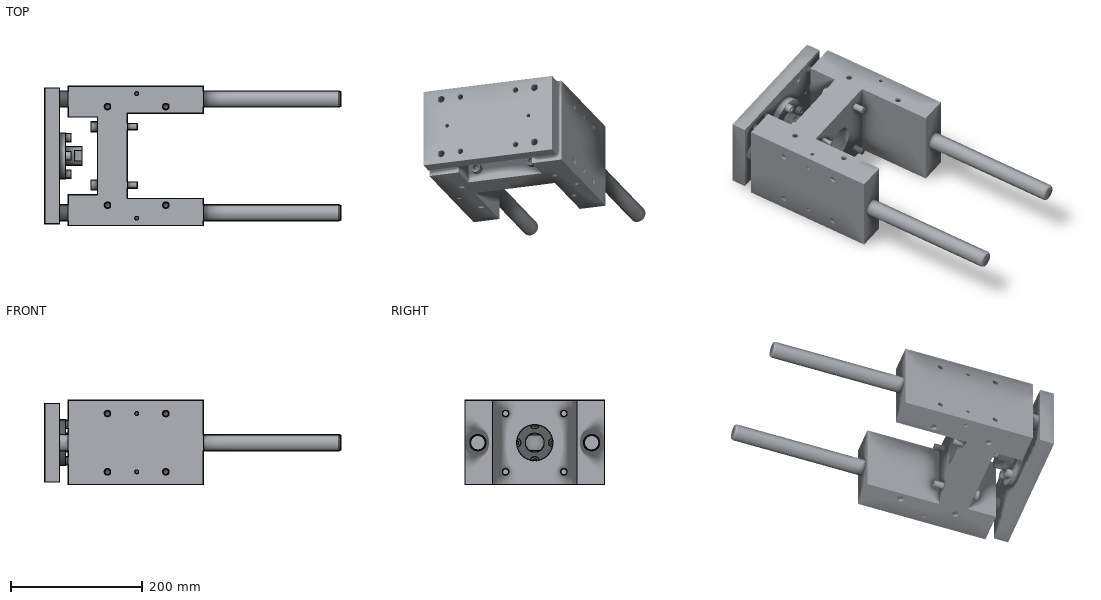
import cadquery as cq
import math


TOTAL_LENGTH = 451.0
PLATE_THICKNESS = 22.5
PLATE_GAP = 13.0
HOUSING_LENGTH = 206.0
HOUSING_FRONT = PLATE_THICKNESS + PLATE_GAP
HOUSING_REAR = HOUSING_FRONT + HOUSING_LENGTH

HOUSING_WIDTH = 213.0
HOUSING_HEIGHT = 129.0
HOUSING_RISE = 0.5
FRONT_NOTCH_DEPTH = 44.5
FRONT_NOTCH_WIDTH = 118.0
REAR_NOTCH_WIDTH = 129.5
WEB_THICKNESS = 45.5
WEB_FRONT = HOUSING_FRONT + FRONT_NOTCH_DEPTH
WEB_REAR = WEB_FRONT + WEB_THICKNESS
WEB_BORE_DIAMETER = 55.0

MOUNT_PITCH = 89.0
TAP_DIAMETER = 8.0
TAP_MOUTH_DIAMETER = 10.0
TAP_DEPTH = 20.0
DOWEL_DIAMETER = 6.0
DOWEL_DEPTH = 10.0
DRILL_POINT_ANGLE = 118.0

FRONT_TAP_OFFSET = 60.0
TAP_X = (HOUSING_FRONT + FRONT_TAP_OFFSET, HOUSING_FRONT + FRONT_TAP_OFFSET + MOUNT_PITCH)
DOWEL_X = sum(TAP_X) / 2
TOP_TAP_PITCH = 150.0
TOP_DOWEL_PITCH = 190.0

BOLT_DIAMETER = 10.0
BOLT_HEAD_DIAMETER = 16.0
BOLT_HEAD_LENGTH = 10.0
BOLT_PROTRUSION = 15.5
BOLT_TIP_CHAMFER = 0.5
BOLT_SOCKET_FLATS = 6.8
BOLT_SOCKET_DEPTH = 5.0

PLATE_WIDTH = 207.0
PLATE_HEIGHT = 120.0
PLATE_HOLE_DIAMETER = 11.0
PLATE_HOLE_PITCH = 150.0
PLATE_DOWEL_PITCH = 131.2

ROD_DIAMETER = 25.0
ROD_PITCH = 173.0
ROD_CHAMFER_LENGTH = 2.5
ROD_CHAMFER_WIDTH = 1.5

FLANGE_DIAMETER = 70.5
FLANGE_THICKNESS = 9.5
SPIGOT_DIAMETER = 29.0
SPIGOT_LENGTH = 25.0
SPIGOT_FLATS = 24.0
SPIGOT_FLAT_LENGTH = 11.5
SCREW_CIRCLE_DIAMETER = 55.5
SCREW_COUNT = 4
SCREW_HEAD_DIAMETER = 13.0
SCREW_HEAD_LENGTH = 8.0
SCREW_SOCKET_FLATS = 6.0
SCREW_SOCKET_DEPTH = 4.0

X_AXIS = cq.Vector(1, 0, 0)


def corners(pitch_a, pitch_b):
    """The four corners of a rectangle centred on the origin."""
    return [(a * pitch_a / 2, b * pitch_b / 2) for a in (-1, 1) for b in (-1, 1)]


def rod_along_x(x, y, z, diameter, length):
    """A cylinder that starts at (x, y, z) and runs in +X."""
    return cq.Workplane(cq.Solid.makeCylinder(diameter / 2, length, cq.Vector(x, y, z), X_AXIS))


def hex_along_x(x, y, z, flats, length):
    """A hexagonal prism with a corner on top; a negative length runs in -X from (x, y, z)."""
    across_corners = flats / math.cos(math.pi / 6)
    prism = cq.Workplane("YZ", origin=(x, y, z)).polygon(6, across_corners).extrude(length)
    return prism.rotate((x, y, z), (x + 4.5, y, z), 90)


def flat_hole(point, direction, diameter, depth):
    """A flat-bottomed cylinder that starts at a point and runs in a direction."""
    return cq.Workplane(
        cq.Solid.makeCylinder(diameter / 2, depth, cq.Vector(*point), cq.Vector(*direction))
    )


def tap_mouth(point, direction):
    """The 45-degree countersink at the mouth of a tapped hole."""
    mouth_depth = (TAP_MOUTH_DIAMETER - TAP_DIAMETER) / 2
    return cq.Workplane(
        cq.Solid.makeCone(
            TAP_MOUTH_DIAMETER / 2, TAP_DIAMETER / 2, mouth_depth, cq.Vector(*point), cq.Vector(*direction)
        )
    )


def tapped_hole(point, direction):
    """A blind hole with a countersunk mouth and a conical bottom."""
    inward = cq.Vector(*direction)
    bottom = cq.Vector(*point) + inward * TAP_DEPTH
    radius = TAP_DIAMETER / 2
    cone_length = radius / math.tan(math.radians(DRILL_POINT_ANGLE / 2))
    drill_point = cq.Workplane(cq.Solid.makeCone(radius, 0, cone_length, bottom, inward))
    hole = flat_hole(point, direction, TAP_DIAMETER, TAP_DEPTH)
    return hole.union(drill_point).union(tap_mouth(point, direction))


def housing_slab(x, length, width):
    """A full-height box of the housing that starts at x."""
    slab = cq.Workplane("XY").box(length, width, HOUSING_HEIGHT, centered=(False, True, True))
    return slab.translate((x, 0, HOUSING_RISE))


def housing_block():
    """The H-shaped block: two arms joined by the web."""
    block = housing_slab(HOUSING_FRONT, HOUSING_LENGTH, HOUSING_WIDTH)
    front_notch = housing_slab(HOUSING_FRONT, FRONT_NOTCH_DEPTH, FRONT_NOTCH_WIDTH)
    rear_notch = housing_slab(WEB_REAR, HOUSING_REAR - WEB_REAR, REAR_NOTCH_WIDTH)
    return block.cut(front_notch).cut(rear_notch)


def cut_bores(block):
    """The web bore and the guide bores through both arms."""
    block = block.cut(rod_along_x(WEB_FRONT, 0, 0, WEB_BORE_DIAMETER, WEB_THICKNESS))
    for side in (-1, 1):
        y = side * ROD_PITCH / 2
        block = block.cut(rod_along_x(HOUSING_FRONT, y, 0, ROD_DIAMETER, HOUSING_LENGTH))
    return block


def cut_side_holes(block):
    """Tapped holes and dowel holes in both outer arm faces."""
    for side in (-1, 1):
        y = side * HOUSING_WIDTH / 2
        inward = (0, -side, 0)
        for z in (-MOUNT_PITCH / 2, MOUNT_PITCH / 2):
            for x in TAP_X:
                block = block.cut(tapped_hole((x, y, z), inward))
            block = block.cut(flat_hole((DOWEL_X, y, z), inward, DOWEL_DIAMETER, DOWEL_DEPTH))
    return block


def cut_top_and_bottom_holes(block):
    """Tapped holes and dowel holes in the top and bottom faces."""
    for end in (-1, 1):
        z = HOUSING_RISE + end * HOUSING_HEIGHT / 2
        inward = (0, 0, -end)
        for side in (-1, 1):
            tap_y = side * TOP_TAP_PITCH / 2
            dowel_y = side * TOP_DOWEL_PITCH / 2
            for x in TAP_X:
                block = block.cut(tapped_hole((x, tap_y, z), inward))
            block = block.cut(flat_hole((DOWEL_X, dowel_y, z), inward, DOWEL_DIAMETER, DOWEL_DEPTH))
    return block


def web_bolt(y, z):
    """A socket-head bolt with its head on the front of the web and its tip behind it."""
    head_front = WEB_FRONT - BOLT_HEAD_LENGTH
    head = rod_along_x(head_front, y, z, BOLT_HEAD_DIAMETER, BOLT_HEAD_LENGTH)
    head = head.cut(hex_along_x(head_front, y, z, BOLT_SOCKET_FLATS, BOLT_SOCKET_DEPTH))
    shank = rod_along_x(WEB_FRONT, y, z, BOLT_DIAMETER, WEB_THICKNESS + BOLT_PROTRUSION)
    shank = shank.faces(">X").chamfer(BOLT_TIP_CHAMFER)
    return head.union(shank)


def make_housing():
    housing = cut_bores(housing_block())
    housing = cut_side_holes(housing)
    housing = cut_top_and_bottom_holes(housing)
    for y, z in corners(MOUNT_PITCH, MOUNT_PITCH):
        housing = housing.union(web_bolt(y, z))
    return housing


def front_plate():
    plate = cq.Workplane("XY").box(
        PLATE_THICKNESS, PLATE_WIDTH, PLATE_HEIGHT, centered=(False, True, True)
    )
    for y, z in corners(PLATE_HOLE_PITCH, MOUNT_PITCH):
        plate = plate.cut(rod_along_x(0, y, z, PLATE_HOLE_DIAMETER, PLATE_THICKNESS))
    for y, z in corners(MOUNT_PITCH, MOUNT_PITCH):
        plate = plate.cut(rod_along_x(0, y, z, TAP_DIAMETER, PLATE_THICKNESS))
        plate = plate.cut(tap_mouth((0, y, z), (1, 0, 0)))
    for side in (-1, 1):
        y = side * PLATE_DOWEL_PITCH / 2
        plate = plate.cut(rod_along_x(0, y, 0, DOWEL_DIAMETER, PLATE_THICKNESS))
    return plate


def guide_rod(y):
    """A rod from the plate to the rear, with a chamfered end."""
    tip_start = TOTAL_LENGTH - ROD_CHAMFER_LENGTH
    rod = rod_along_x(PLATE_THICKNESS, y, 0, ROD_DIAMETER, tip_start - PLATE_THICKNESS)
    tip = cq.Solid.makeCone(
        ROD_DIAMETER / 2,
        ROD_DIAMETER / 2 - ROD_CHAMFER_WIDTH,
        ROD_CHAMFER_LENGTH,
        cq.Vector(tip_start, y, 0),
        X_AXIS,
    )
    return rod.union(cq.Workplane(tip))


def coupling():
    """A round flange with a spigot that has two wrench flats, held by socket-head screws."""
    flange_rear = PLATE_THICKNESS + FLANGE_THICKNESS
    spigot_rear = flange_rear + SPIGOT_LENGTH
    spigot = rod_along_x(flange_rear, 0, 0, SPIGOT_DIAMETER, SPIGOT_LENGTH)
    for end in (-1, 1):
        waste = cq.Workplane("XY").box(SPIGOT_FLAT_LENGTH, SPIGOT_DIAMETER, SPIGOT_DIAMETER)
        spigot = spigot.cut(
            waste.translate(
                (spigot_rear - SPIGOT_FLAT_LENGTH / 2, 0, end * (SPIGOT_FLATS + SPIGOT_DIAMETER) / 2)
            )
        )
    body = rod_along_x(PLATE_THICKNESS, 0, 0, FLANGE_DIAMETER, FLANGE_THICKNESS).union(spigot)
    for index in range(SCREW_COUNT):
        angle = 2 * math.pi * index / SCREW_COUNT
        y = SCREW_CIRCLE_DIAMETER / 2 * math.cos(angle)
        z = SCREW_CIRCLE_DIAMETER / 2 * math.sin(angle)
        head = rod_along_x(flange_rear, y, z, SCREW_HEAD_DIAMETER, SCREW_HEAD_LENGTH)
        head_rear = flange_rear + SCREW_HEAD_LENGTH
        body = body.union(head.cut(hex_along_x(head_rear, y, z, SCREW_SOCKET_FLATS, -SCREW_SOCKET_DEPTH)))
    return body


def make_slide():
    slide = front_plate().union(coupling())
    for side in (-1, 1):
        slide = slide.union(guide_rod(side * ROD_PITCH / 2))
    return slide


housing = make_housing()
slide = make_slide()
result = cq.Compound.makeCompound([housing.solids().val(), slide.solids().val()])